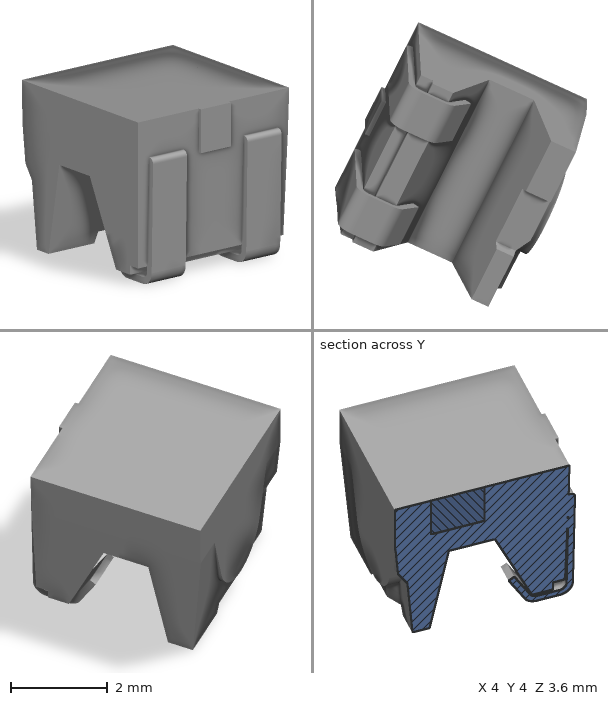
import cadquery as cq
import math


def inset(height, draft):
    """Sideways run of a face leaning by `draft` degrees over `height`."""
    return height * math.tan(math.radians(draft))


height = 3.6
half_width = 2.0
front_x = -2.0
back_x = 1.875
parting_z = 2.65
cap_draft = 1.2
leg_side_draft = 1.5
leg_back_draft = 2.0
leg_front_draft = 4.6
cut_reach = 10.0

slot_top_z = 2.04
slot_front_x = -0.795
slot_back_x = 0.22
front_leg_toe_x = -1.22
back_leg_toe_x = 1.037
back_leg_bottom_z = 0.2
step_x = 1.507
step_z = 0.4

notch_top_z = 0.255
notch_top_half = 0.638
notch_bottom_half = 0.70
pad_half_width = 1.297
pad_side_lean = 15.6
pad_bottom_z = 0.675
pad_thickness = 0.45
recess_edge_y = -0.636
recess_top_z = 1.467
recess_corner_radius = 0.93
recess_depth = 0.18
recess_wall_angle = 61.5

tab_x = 1.955
tab_half_width = 0.4
tab_root_x = 1.6

lead_thickness = 0.15
lead_width = 0.9
lead_center_y = 1.25
lead_top_x = 2.0
lead_top_z = 2.79
lead_lean = 1.1
tail_tip_x = 0.52
tail_tip_z = 0.776
tail_angle = 60.0
bend_radius = 0.15
lead_top_radius = 0.12

lens_x = -0.6
lens_length = 2.8
lens_width = 2.4
lens_depth = height - parting_z


def package_block():
    """Drafted block with two legs, from a side profile and an end profile."""
    parting_back_x = back_x - inset(height - parting_z, cap_draft)
    heel_x = parting_back_x - inset(parting_z - step_z, leg_back_draft)
    front_foot_x = front_x + inset(parting_z, leg_front_draft)
    side_profile = [
        (front_x, height),
        (back_x, height),
        (parting_back_x, parting_z),
        (heel_x, step_z),
        (step_x, step_z),
        (step_x, back_leg_bottom_z),
        (back_leg_toe_x, back_leg_bottom_z),
        (slot_back_x, slot_top_z),
        (slot_front_x, slot_top_z),
        (front_leg_toe_x, 0),
        (front_foot_x, 0),
        (front_x, parting_z),
    ]
    parting_half = half_width - inset(height - parting_z, cap_draft)
    foot_half = parting_half - inset(parting_z, leg_side_draft)
    end_profile = [
        (half_width, height),
        (parting_half, parting_z),
        (foot_half, 0),
        (-foot_half, 0),
        (-parting_half, parting_z),
        (-half_width, height),
    ]
    side = cq.Workplane("XZ").polyline(side_profile).close().extrude(half_width, both=True)
    end = cq.Workplane("YZ").polyline(end_profile).close().extrude(cut_reach, both=True)
    return side.intersect(end)


def corner_recess():
    """Cutter for the sunken corner of the front leg, with a rounded corner and leaning walls."""
    corner_y = recess_edge_y - recess_corner_radius
    corner_z = recess_top_z - recess_corner_radius
    diagonal = recess_corner_radius * math.sqrt(0.5)
    floor_x = front_x + recess_depth
    cutter = (
        cq.Workplane("YZ", origin=(floor_x, 0, 0))
        .moveTo(-cut_reach, -cut_reach)
        .lineTo(recess_edge_y, -cut_reach)
        .lineTo(recess_edge_y, corner_z)
        .threePointArc((corner_y + diagonal, corner_z + diagonal), (corner_y, recess_top_z))
        .lineTo(-cut_reach, recess_top_z)
        .close()
        .extrude(-2 * recess_depth, taper=-recess_wall_angle)
    )
    return cutter.rotate((front_x, 0, parting_z), (front_x, 1, parting_z), -leg_front_draft)


def front_pad():
    """Raised pad on the front leg: leaning sides that run into a round bottom."""
    lean = math.radians(pad_side_lean)
    pad_height = parting_z - pad_bottom_z
    radius = (pad_half_width * math.cos(lean) - pad_height * math.sin(lean)) / (1 - math.sin(lean))
    tangent_y = radius * math.cos(lean)
    tangent_z = pad_bottom_z + radius - radius * math.sin(lean)
    return (
        cq.Workplane("YZ", origin=(front_x, 0, 0))
        .moveTo(pad_half_width, parting_z)
        .lineTo(tangent_y, tangent_z)
        .threePointArc((0, pad_bottom_z), (-tangent_y, tangent_z))
        .lineTo(-pad_half_width, parting_z)
        .close()
        .extrude(pad_thickness)
    )


def foot_notch():
    """Cutter for the notch in the foot of the front leg."""
    outline = [
        (notch_bottom_half, 0),
        (notch_top_half, notch_top_z),
        (-notch_top_half, notch_top_z),
        (-notch_bottom_half, 0),
    ]
    return cq.Workplane("YZ").polyline(outline).close().extrude(front_x)


def back_tab():
    """Small upright tab on the back face, above the parting line."""
    depth = tab_x - tab_root_x
    return (
        cq.Workplane("XY", origin=(tab_root_x, 0, parting_z))
        .box(depth, 2 * tab_half_width, height - parting_z, centered=(False, True, False))
    )


def lead(center_y):
    """Bent strip: upright shank, flat foot and a tail that turns back up."""
    tail = math.radians(tail_angle)
    shank_turn = math.radians(90 - lead_lean)
    tail_corner_x = tail_tip_x + tail_tip_z / math.tan(tail)
    shank_corner_x = lead_top_x - inset(lead_top_z, lead_lean)
    tail_miter = lead_thickness * math.tan(tail / 2)
    shank_miter = lead_thickness * math.tan(shank_turn / 2)
    outline = [
        (tail_tip_x, tail_tip_z),
        (tail_corner_x, 0),
        (shank_corner_x, 0),
        (lead_top_x, lead_top_z),
        (lead_top_x - lead_thickness, lead_top_z),
        (shank_corner_x - shank_miter, lead_thickness),
        (tail_corner_x + tail_miter, lead_thickness),
        (tail_tip_x + lead_thickness * math.sin(tail), tail_tip_z + lead_thickness * math.cos(tail)),
    ]
    strip = cq.Workplane("XZ").polyline(outline).close().extrude(lead_width / 2, both=True)

    def corner(x, z):
        return cq.selectors.NearestToPointSelector((x, 0, z))

    for x, z in outline[1:3]:
        strip = strip.edges("|Y").edges(corner(x, z)).fillet(bend_radius + lead_thickness)
    for x, z in outline[5:7]:
        strip = strip.edges("|Y").edges(corner(x, z)).fillet(bend_radius)
    strip = strip.edges("|Y").edges(corner(lead_top_x, lead_top_z)).fillet(lead_top_radius)
    return strip.translate((0, center_y, 0))


def oval_lens():
    """Oval plug that fills the window, flush with the top face."""
    return (
        cq.Workplane("XY", origin=(lens_x, 0, height))
        .slot2D(lens_length, lens_width, 90)
        .extrude(-lens_depth)
    )


package = package_block().cut(corner_recess()).union(front_pad()).cut(foot_notch()).union(back_tab())
for side in (-1, 1):
    package = package.union(lead(side * lead_center_y))

lens = oval_lens()
package = package.cut(lens)

result = cq.Compound.makeCompound([package.val(), lens.val()])